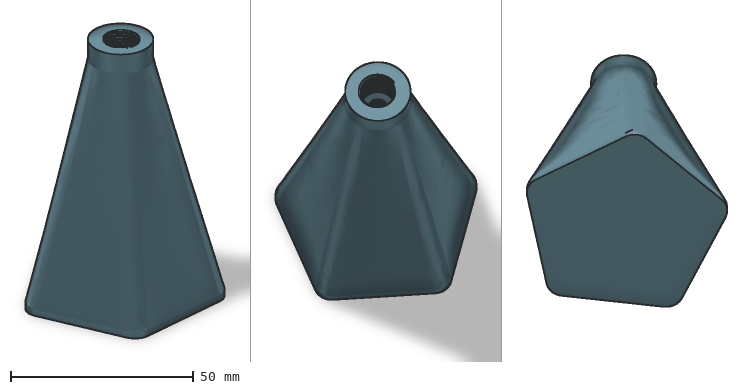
import cadquery as cq
import math

TOTAL_HEIGHT = 78.0
BASE_HEIGHT = 2.0
NECK_HEIGHT = 6.0
SHOULDER_Z = TOTAL_HEIGHT - NECK_HEIGHT

SIDES = 5
FOOT_CIRCUMRADIUS = 30.0
CORNER_RADIUS = 5.0
FOOT_TWIST = 0.45

NECK_DIAMETER = 18.0

THREAD_MINOR_DIAMETER = 9.44
THREAD_MAJOR_DIAMETER = 10.55
THREAD_PITCH = 1.0
SOCKET_DEPTH = 10.0
THREAD_TURNS = 9
THREAD_EXIT_ANGLE = 95.0
THREAD_MOUTH_WIDTH = 0.75
THREAD_ROOT_WIDTH = 0.15
THREAD_OVERLAP = 0.1

PILOT_STEPS = [(5.2, 1.0), (4.2, 6.0)]
POINT_DIAMETER = 2.6
POINT_ANGLE = 90.0


def corner(index):
    """Corner of a pentagon of unit circumradius; a half index gives a mid-side direction."""
    angle = math.radians(90.0 + FOOT_TWIST + index * 360.0 / SIDES)
    return cq.Vector(math.cos(angle), math.sin(angle), 0)


def foot_wire(z):
    """Sharp-cornered pentagon at height z."""
    points = [corner(i) * FOOT_CIRCUMRADIUS + cq.Vector(0, 0, z) for i in range(SIDES)]
    return cq.Wire.makePolygon(points, close=True)


def neck_wire(z):
    """Neck circle split into arcs that start and end in line with the foot corners."""
    radius = NECK_DIAMETER / 2
    lift = cq.Vector(0, 0, z)
    arcs = []
    for i in range(SIDES):
        start, middle, end = (corner(i + step) * radius + lift for step in (0, 0.5, 1))
        arcs.append(cq.Edge.makeThreePointArc(start, middle, end))
    return cq.Wire.assembleEdges(arcs)


def make_body():
    """Pentagonal foot blending into the round neck, with rounded corner edges."""
    foot = cq.Solid.extrudeLinear(foot_wire(0), [], cq.Vector(0, 0, BASE_HEIGHT))
    taper = cq.Solid.makeLoft([foot_wire(BASE_HEIGHT), neck_wire(SHOULDER_Z)], True)
    body = cq.Workplane(foot).union(cq.Workplane(taper), clean=False)
    corner_edges = [e for e in body.edges().vals() if e.BoundingBox().zlen > BASE_HEIGHT / 2]
    return body.newObject(corner_edges).fillet(CORNER_RADIUS)


def add_neck(body):
    """Stand the round neck on the shoulder."""
    neck = cq.Workplane(origin=(0, 0, SHOULDER_Z)).circle(NECK_DIAMETER / 2).extrude(NECK_HEIGHT)
    return body.union(neck, clean=False)


def drill_socket(body):
    """Bore the socket, then the stepped pilot below it, ending in a conical pit."""
    z = TOTAL_HEIGHT
    for diameter, depth in [(THREAD_MINOR_DIAMETER, SOCKET_DEPTH)] + PILOT_STEPS:
        body = body.cut(cq.Workplane(origin=(0, 0, z)).circle(diameter / 2).extrude(-depth), clean=False)
        z -= depth
    point_radius = POINT_DIAMETER / 2
    point_depth = point_radius / math.tan(math.radians(POINT_ANGLE / 2))
    pit = cq.Solid.makeCone(point_radius, 0, point_depth, cq.Vector(0, 0, z), cq.Vector(0, 0, -1))
    return body.cut(cq.Workplane(pit), clean=False)


def cut_thread(body):
    """Cut a right-hand helical V groove that runs out through the top face."""
    inner = THREAD_MINOR_DIAMETER / 2 - THREAD_OVERLAP
    outer = THREAD_MAJOR_DIAMETER / 2
    exit_turn = THREAD_EXIT_ANGLE / 360.0
    start_z = TOTAL_HEIGHT - (THREAD_TURNS - 1 + exit_turn) * THREAD_PITCH
    helix_height = THREAD_TURNS * THREAD_PITCH
    path = cq.Wire.makeHelix(THREAD_PITCH, helix_height, inner, cq.Vector(0, 0, start_z))
    half_mouth = THREAD_MOUTH_WIDTH / 2
    half_root = THREAD_ROOT_WIDTH / 2
    groove = (
        cq.Workplane("XZ")
        .moveTo(inner, start_z - half_mouth)
        .lineTo(outer, start_z - half_root)
        .lineTo(outer, start_z + half_root)
        .lineTo(inner, start_z + half_mouth)
        .close()
        .sweep(cq.Workplane(path), isFrenet=True)
    )
    return body.cut(groove, clean=False)


result = cut_thread(drill_socket(add_neck(make_body())))